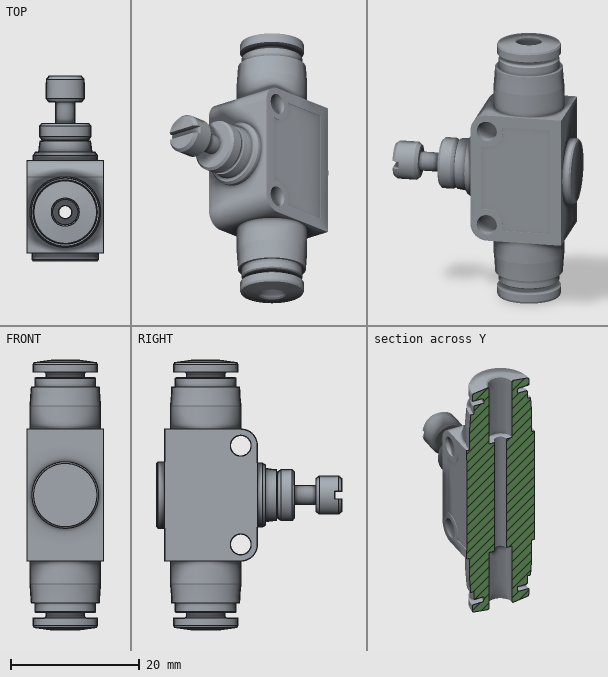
import cadquery as cq

body_width = 12.0
body_front = -6.4
body_back = 8.08
body_half_height = 10.3
corner_radius = 2.6

mount_diameter = 3.2
mount_y = body_back - corner_radius
mount_z = body_half_height - corner_radius

recess_margin = 1.75
recess_depth = 0.1
recess_hole_clearance = 2.55

fitting_top = 21.05
sleeve_radius = 11.0 / 2
sleeve_end_radius = 5.3
sleeve_straight_top = 13.9
sleeve_top = 16.82
collar_radius = 9.5 / 2
collar_top = 18.35
collar_chamfer = 0.15
neck_radius = 6.0 / 2
neck_fillet = 0.35
release_radius = 10.0 / 2
release_bottom = 19.2
release_chamfer_bottom = 20.35
release_cone_bottom = 20.65
release_cone_radius = 9.75 / 2
tube_radius = 3.95 / 2
tube_lead_in = 0.2
tube_depth = fitting_top - body_half_height
bore_diameter = 2.0

cap_radius = 10.4 / 2
cap_end_radius = 9.9 / 2
cap_height = 1.25
cap_chamfer = 0.25

flange_radius = 10.0 / 2
flange_end = 9.35
flange_chamfer_length = 0.5
flange_chamfer_depth = 0.35
shoulder_radius = 4.15
shoulder_end_radius = 3.95
shoulder_end = 11.05
groove_radius = 6.95 / 2
nut_radius = 8 / 2
nut_start = 11.25
nut_end = 13.85
nut_chamfer_length = 0.55
nut_chamfer_depth = 0.38
nut_end_chamfer = 0.38
stem_radius = 3.0 / 2
knob_radius = 5.97 / 2
knob_end = 21.25
knob_length = 4.05
knob_start = knob_end - knob_length
knob_chamfer_length = 0.55
knob_chamfer_depth = 0.4
slot_width = 1.18
slot_depth = 1.1


def make_body():
    center_y = (body_front + body_back) / 2
    block = cq.Workplane("XY").box(body_width, body_back - body_front, 2 * body_half_height)
    block = block.translate((0, center_y, 0))
    return block.edges("|X and >Y").fillet(corner_radius)


def cylinders_along_x(radius):
    """Full-width cylinders on the axes of both mounting holes."""
    return (
        cq.Workplane("YZ", origin=(-body_width / 2, 0, 0))
        .pushPoints([(mount_y, mount_z), (mount_y, -mount_z)])
        .circle(radius)
        .extrude(body_width)
    )


def make_label_recess():
    front = body_front + recess_margin
    back = body_back - recess_margin
    panel = (
        cq.Workplane("YZ", origin=(-body_width / 2, 0, 0))
        .center((front + back) / 2, 0)
        .rect(back - front, 2 * (body_half_height - recess_margin))
        .extrude(recess_depth)
    )
    return panel.cut(cylinders_along_x(recess_hole_clearance))


def make_upper_fitting():
    fillet_start = release_bottom - neck_fillet
    lead_in_radius = tube_radius + tube_lead_in
    tube_floor = fitting_top - tube_depth
    profile = (
        cq.Workplane("XZ")
        .moveTo(0, 0)
        .lineTo(sleeve_radius, 0)
        .lineTo(sleeve_radius, sleeve_straight_top)
        .lineTo(sleeve_end_radius, sleeve_top)
        .lineTo(collar_radius, sleeve_top)
        .lineTo(collar_radius, collar_top - collar_chamfer)
        .lineTo(collar_radius - collar_chamfer, collar_top)
        .lineTo(neck_radius, collar_top)
        .lineTo(neck_radius, fillet_start)
        .tangentArcPoint((neck_radius + neck_fillet, release_bottom), relative=False)
        .lineTo(release_radius, release_bottom)
        .lineTo(release_radius, release_chamfer_bottom)
        .lineTo(release_cone_radius, release_cone_bottom)
        .lineTo(lead_in_radius, fitting_top)
        .lineTo(tube_radius, fitting_top - tube_lead_in)
        .lineTo(tube_radius, tube_floor)
        .lineTo(0, tube_floor)
        .close()
    )
    return profile.revolve(360, (0, 0, 0), (0, 1, 0))


def make_cap():
    cap_end = body_front - cap_height
    profile = (
        cq.Workplane("XY")
        .moveTo(0, 0)
        .lineTo(cap_radius, 0)
        .lineTo(cap_radius, cap_end + cap_chamfer)
        .lineTo(cap_end_radius, cap_end)
        .lineTo(0, cap_end)
        .close()
    )
    return profile.revolve(360, (0, 0, 0), (0, 1, 0))


def make_adjusting_screw():
    knob_face_radius = knob_radius - knob_chamfer_depth
    profile = (
        cq.Workplane("XY")
        .moveTo(0, 0)
        .lineTo(flange_radius, 0)
        .lineTo(flange_radius, flange_end - flange_chamfer_length)
        .lineTo(flange_radius - flange_chamfer_depth, flange_end)
        .lineTo(shoulder_radius, flange_end)
        .lineTo(shoulder_end_radius, shoulder_end)
        .lineTo(groove_radius, shoulder_end)
        .lineTo(groove_radius, nut_start)
        .lineTo(nut_radius - nut_chamfer_depth, nut_start)
        .lineTo(nut_radius, nut_start + nut_chamfer_length)
        .lineTo(nut_radius, nut_end - nut_end_chamfer)
        .lineTo(nut_radius - nut_end_chamfer, nut_end)
        .lineTo(stem_radius, nut_end)
        .lineTo(stem_radius, knob_start)
        .lineTo(knob_face_radius, knob_start)
        .lineTo(knob_radius, knob_start + knob_chamfer_length)
        .lineTo(knob_radius, knob_end - knob_chamfer_length)
        .lineTo(knob_face_radius, knob_end)
        .lineTo(0, knob_end)
        .close()
    )
    screw = profile.revolve(360, (0, 0, 0), (0, 1, 0))
    slot = cq.Workplane("XY").box(2 * knob_radius, 2 * slot_depth, slot_width)
    return screw.cut(slot.translate((0, knob_end, 0)))


upper_fitting = make_upper_fitting()
lower_fitting = upper_fitting.mirror("XY")
bore = cq.Workplane("XY").circle(bore_diameter / 2).extrude(fitting_top, both=True)

result = make_body().cut(make_label_recess())
for attachment in (upper_fitting, lower_fitting, make_cap(), make_adjusting_screw()):
    result = result.union(attachment)
result = result.cut(bore).cut(cylinders_along_x(mount_diameter / 2))